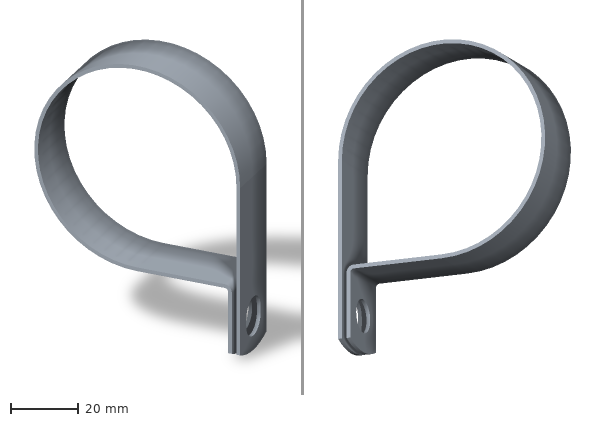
import cadquery as cq
import math

ring_diameter = 67.51
band_width = 19.05
thickness = 1.22
total_height = 90.88
lug_gap = 1.53
bend_inner_radius = 1.1
hole_diameter = 10.32
slot_length = 12.7
hole_to_tip = 11.1
tip_radius = 22.225

VERTICAL = 90

outer_radius = ring_diameter / 2
inner_radius = outer_radius - thickness
tip_z = outer_radius - total_height
hole_z = tip_z + hole_to_tip
gap_middle_x = inner_radius - lug_gap / 2
short_lug_outer_x = inner_radius - lug_gap
short_lug_inner_x = short_lug_outer_x - thickness
bend_outer_radius = bend_inner_radius + thickness
bend_start_x = short_lug_inner_x - bend_inner_radius
bend_end_z = -outer_radius - bend_inner_radius
half_width = band_width / 2
tip_crown = tip_radius - math.sqrt(tip_radius**2 - half_width**2)


def bent_strip():
    """Three-quarter ring running into a long lug and a bent short lug."""
    profile = (
        cq.Workplane("XZ")
        .moveTo(outer_radius, tip_z)
        .lineTo(outer_radius, 0)
        .threePointArc((0, outer_radius), (-outer_radius, 0))
        .radiusArc((0, -outer_radius), -outer_radius)
        .lineTo(bend_start_x, -outer_radius)
        .radiusArc((short_lug_inner_x, bend_end_z), bend_inner_radius)
        .lineTo(short_lug_inner_x, tip_z)
        .lineTo(short_lug_outer_x, tip_z)
        .lineTo(short_lug_outer_x, bend_end_z)
        .radiusArc((bend_start_x, -inner_radius), -bend_outer_radius)
        .lineTo(0, -inner_radius)
        .radiusArc((-inner_radius, 0), inner_radius)
        .threePointArc((0, inner_radius), (inner_radius, 0))
        .lineTo(inner_radius, tip_z)
        .close()
    )
    return profile.extrude(half_width, both=True)


def side_outline():
    """Strip seen along X: straight sides with a crowned lower end."""
    corner_z = tip_z + tip_crown
    return (
        cq.Workplane("YZ")
        .moveTo(-half_width, corner_z)
        .threePointArc((0, tip_z), (half_width, corner_z))
        .lineTo(half_width, outer_radius)
        .lineTo(-half_width, outer_radius)
        .close()
        .extrude(outer_radius, both=True)
    )


def bolt_hole():
    """Round cutter passing through both lugs along X."""
    return (
        cq.Workplane("YZ")
        .center(0, hole_z)
        .circle(hole_diameter / 2)
        .extrude(outer_radius)
    )


def adjusting_slot():
    """Upright slot cutter that lengthens the hole of the long lug only."""
    return (
        cq.Workplane("YZ", origin=(gap_middle_x, 0, hole_z))
        .slot2D(slot_length, hole_diameter, VERTICAL)
        .extrude(lug_gap + thickness)
    )


result = bent_strip().intersect(side_outline()).cut(bolt_hole()).cut(adjusting_slot())